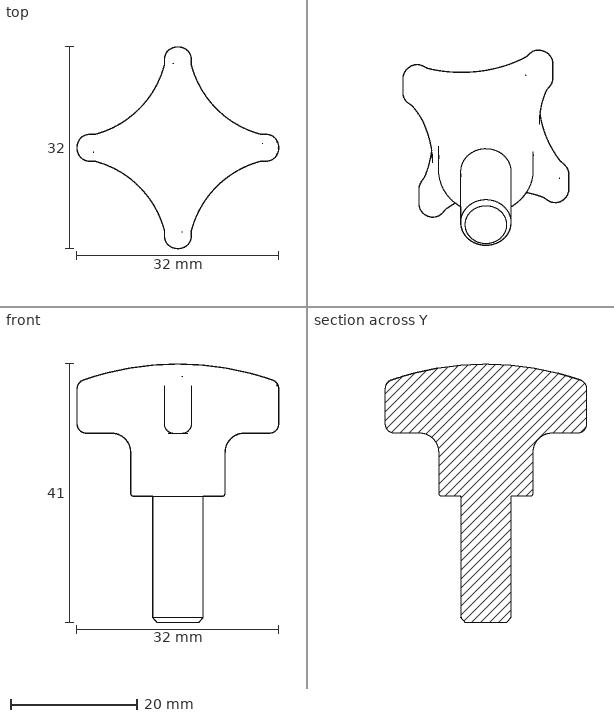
import cadquery as cq
import math

ARM_COUNT = 4
SPAN_RADIUS = 16.0
ARM_HALF_WIDTH = 2.15
ARM_FLAT_LENGTH = 0.85
TIP_CORNER_RADIUS = 2.0
TIP_END_HALF_WIDTH = 1.07
FLUTE_CENTRE_OFFSET = 17.0
HEAD_BOTTOM = 10.0
HEAD_APEX = 21.0
DOME_RADIUS = 45.5
EDGE_FILLET = 1.5

HUB_RADIUS = 7.5
HUB_EDGE_FILLET = 0.5
FLARE_RADIUS = 3.0
STUD_RADIUS = 4.0
STUD_LENGTH = 20.0
STUD_CHAMFER_LENGTH = 0.8
STUD_CHAMFER_DEPTH = 0.7

CUTTER_DEPTH = 2.0
PATH_POINTS = 40
PATH_TOLERANCE = 1e-7
MATCH_TOLERANCE = 0.05
JOIN_TOLERANCE = 1e-4

FLARE_FOOT = HEAD_BOTTOM - FLARE_RADIUS
FLARE_RIM = HUB_RADIUS + FLARE_RADIUS

tip_sine = (TIP_END_HALF_WIDTH - ARM_HALF_WIDTH + TIP_CORNER_RADIUS) / TIP_CORNER_RADIUS
tip_angle = math.asin(tip_sine)
tip_end_radius = TIP_END_HALF_WIDTH / tip_sine
tip_end_start = SPAN_RADIUS - tip_end_radius * (1 - math.cos(tip_angle))
flat_end = tip_end_start - TIP_CORNER_RADIUS * math.cos(tip_angle)
flat_start = flat_end - ARM_FLAT_LENGTH
corner_middle_angle = (tip_angle + math.pi / 2) / 2
corner_middle_x = flat_end + TIP_CORNER_RADIUS * math.cos(corner_middle_angle)
corner_middle_y = ARM_HALF_WIDTH - TIP_CORNER_RADIUS * (1 - math.sin(corner_middle_angle))

flute_radius = math.hypot(FLUTE_CENTRE_OFFSET - flat_start, FLUTE_CENTRE_OFFSET - ARM_HALF_WIDTH)
flute_middle = FLUTE_CENTRE_OFFSET - flute_radius / math.sqrt(2)
flute_distance = math.hypot(FLUTE_CENTRE_OFFSET, FLUTE_CENTRE_OFFSET)
flute_half_angle = math.acos(
    (FLARE_RIM**2 + flute_distance**2 - flute_radius**2) / (2 * FLARE_RIM * flute_distance)
)


def turned(x, y, step):
    """Turn a point about Z by a number of arm steps."""
    angle = step * 2 * math.pi / ARM_COUNT
    return (
        x * math.cos(angle) - y * math.sin(angle),
        x * math.sin(angle) + y * math.cos(angle),
    )


def star_head():
    """Star-shaped prism, from the foot of the flare up to a domed top."""
    outline = cq.Workplane("XY").workplane(offset=FLARE_FOOT)
    outline = outline.moveTo(flat_start, -ARM_HALF_WIDTH)
    for step in range(ARM_COUNT):
        outline = (
            outline.lineTo(*turned(flat_end, -ARM_HALF_WIDTH, step))
            .threePointArc(
                turned(corner_middle_x, -corner_middle_y, step),
                turned(tip_end_start, -TIP_END_HALF_WIDTH, step),
            )
            .threePointArc(
                turned(SPAN_RADIUS, 0, step),
                turned(tip_end_start, TIP_END_HALF_WIDTH, step),
            )
            .threePointArc(
                turned(corner_middle_x, corner_middle_y, step),
                turned(flat_end, ARM_HALF_WIDTH, step),
            )
            .lineTo(*turned(flat_start, ARM_HALF_WIDTH, step))
            .threePointArc(
                turned(flute_middle, flute_middle, step),
                turned(flat_start, -ARM_HALF_WIDTH, step + 1),
            )
        )
    prism = outline.close().extrude(HEAD_APEX - FLARE_FOOT)
    dome = cq.Workplane("XY").sphere(DOME_RADIUS).translate((0, 0, HEAD_APEX - DOME_RADIUS))
    return prism.intersect(dome)


def flare_centre(angle, rise=0.0):
    """Centre of the flare arc at an angle about Z, lifted by rise.

    Where a flute undercuts the rim circle, the arc climbs so that it still
    meets the lower edge of the flute wall.
    """
    x = FLARE_RIM * math.cos(angle)
    y = FLARE_RIM * math.sin(angle)
    to_flute_axis = math.hypot(abs(x) - FLUTE_CENTRE_OFFSET, abs(y) - FLUTE_CENTRE_OFFSET)
    overhang = max(flute_radius - to_flute_axis, 0)
    drop = math.sqrt(FLARE_RADIUS**2 - overhang**2)
    return (x, y, HEAD_BOTTOM - drop + rise)


def flare_section(angle, outer_reach=0.0):
    """Space below the flare arc in a radial plane, carried outward by outer_reach."""
    x, y, z = flare_centre(angle)
    plane = cq.Plane(origin=(x, y, z), xDir=(x, y, 0), normal=(y, -x, 0))
    middle = FLARE_RADIUS / math.sqrt(2)
    section = (
        cq.Workplane(plane)
        .moveTo(outer_reach, -CUTTER_DEPTH)
        .lineTo(-FLARE_RADIUS, -CUTTER_DEPTH)
        .lineTo(-FLARE_RADIUS, 0)
        .threePointArc((-middle, middle), (0, FLARE_RADIUS))
    )
    if outer_reach:
        section = section.lineTo(outer_reach, FLARE_RADIUS)
    return section.close()


def flute_trail(rise):
    """Path of the flare arc centre across the flute on the diagonal."""
    diagonal = math.pi / ARM_COUNT
    return cq.Workplane("XY").parametricCurve(
        lambda angle: flare_centre(angle, rise),
        N=PATH_POINTS,
        tol=PATH_TOLERANCE,
        start=diagonal - flute_half_angle,
        stop=diagonal + flute_half_angle,
    )


def flute_flare_cutter():
    """Flare cutter below a flute, kept upright by a copy of its path higher up."""
    start_angle = math.pi / ARM_COUNT - flute_half_angle
    guide = flute_trail(FLARE_RADIUS)
    return flare_section(start_angle).sweep(flute_trail(0), auxSpine=guide)


def arm_flare_cutter():
    """Flare cutter below the arm along +X, with the flat underside beyond it."""
    half_angle = math.pi / ARM_COUNT - flute_half_angle
    return flare_section(-half_angle, SPAN_RADIUS).revolve(
        math.degrees(2 * half_angle), (-FLARE_RIM, 0, 0), (-FLARE_RIM, 1, 0)
    )


def cut_underside(head):
    """Remove the space around the hub flare below the arms and the flutes."""
    for cutter in (flute_flare_cutter(), arm_flare_cutter()):
        for step in range(ARM_COUNT):
            turn = step * 360 / ARM_COUNT
            head = head.cut(cutter.rotate((0, 0, 0), (0, 0, 1), turn))
    return head


def is_lower_rim(edge):
    """True for edges where the side wall of the star meets its underside."""
    middle = edge.positionAt(0.5)
    x = abs(middle.x)
    y = abs(middle.y)
    to_flute_axis = math.hypot(x - FLUTE_CENTRE_OFFSET, y - FLUTE_CENTRE_OFFSET)
    on_wall = abs(to_flute_axis - flute_radius) < MATCH_TOLERANCE or max(x, y) > flat_start
    return on_wall and abs(middle.z - HEAD_BOTTOM) < MATCH_TOLERANCE


def round_rims(head):
    """Round the rim of the dome and the lower rim of the star."""
    head = head.faces(">Z").edges().fillet(EDGE_FILLET)
    lower_rim = [edge for edge in head.edges().vals() if is_lower_rim(edge)]
    return head.newObject(lower_rim).fillet(EDGE_FILLET)


def hub():
    """Cylinder below the flare, with a rounded lower edge."""
    cylinder = cq.Workplane("XY").circle(HUB_RADIUS).extrude(FLARE_FOOT)
    return cylinder.faces("<Z").edges().fillet(HUB_EDGE_FILLET)


def stud():
    """Plain round stud with a chamfered tip."""
    return (
        cq.Workplane("XY")
        .circle(STUD_RADIUS)
        .extrude(-STUD_LENGTH)
        .faces("<Z")
        .edges()
        .chamfer(STUD_CHAMFER_LENGTH, STUD_CHAMFER_DEPTH)
    )


head = round_rims(cut_underside(star_head()))
result = head.union(hub(), tol=JOIN_TOLERANCE).union(stud())